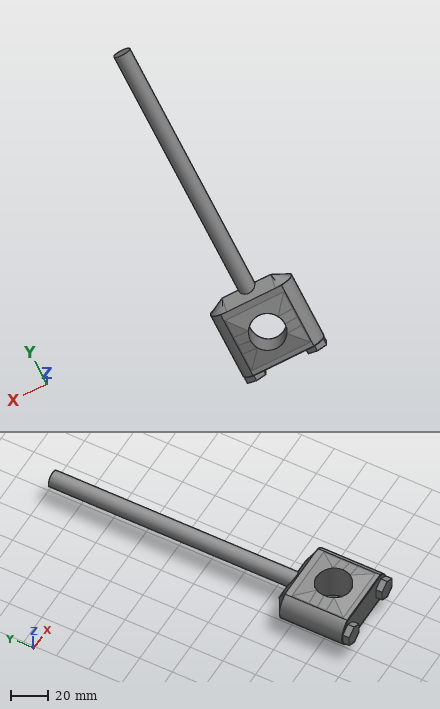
import cadquery as cq
import math


overall_length = 195.0
bolt_head_height = 3.9
body_front = -19.0

body_length = 38.6
body_width = 49.0
body_half_width = body_width / 2
body_half_height = 9.5
flat_half_width = 18.3
front_chamfer = 0.4
body_back = body_front + body_length

wedge_angle = 60.0
wedge_half_width = 24.2
wedge_height = body_half_height / math.tan(math.radians(wedge_angle))
ridge_half_width = wedge_half_width - body_half_height

hole_radius = 10.3
rim_base_half_width = 17.7
rim_base_half_depth = 15.8
rim_rise = 1.85
rim_top = body_half_height + rim_rise
rim_strip_half_depth = 5.3

rod_radius = 4.9
bolt_across_flats = 11.1
bolt_spacing = 2 * flat_half_width


def make_body():
    """Clamp block with its front edge lightly chamfered."""
    outline = (
        cq.Workplane("XZ", origin=(0, body_back, 0))
        .moveTo(-flat_half_width, body_half_height)
        .lineTo(flat_half_width, body_half_height)
        .threePointArc((body_half_width, 0), (flat_half_width, -body_half_height))
        .lineTo(-flat_half_width, -body_half_height)
        .threePointArc((-body_half_width, 0), (-flat_half_width, body_half_height))
        .close()
    )
    return outline.extrude(body_length).faces("<Y").chamfer(front_chamfer)


def make_wedge():
    """Roof-shaped back: a triangular prism with a half cone at each end."""
    back = cq.Workplane("YZ", origin=(-ridge_half_width, 0, 0))
    wedge = (
        back.moveTo(body_back, -body_half_height)
        .lineTo(body_back + wedge_height, 0)
        .lineTo(body_back, body_half_height)
        .close()
        .extrude(2 * ridge_half_width)
    )
    for side in (-1, 1):
        base_centre = cq.Vector(side * ridge_half_width, body_back, 0)
        cone = cq.Solid.makeCone(body_half_height, 0, wedge_height, base_centre, cq.Vector(0, 1, 0))
        wedge = wedge.union(cq.Workplane(cone))
    return wedge


def make_face(points):
    """Flat face bounded by straight edges through the points."""
    return cq.Face.makeFromWires(cq.Wire.makePolygon([cq.Vector(*p) for p in points], close=True))


def make_edge(start, end):
    """Straight edge between two points."""
    return cq.Edge.makeLine(cq.Vector(*start), cq.Vector(*end))


def make_rim():
    """Faceted frustum on top of the body whose upper corners lie on the hole edge."""
    strip_top_x = math.sqrt(hole_radius**2 - rim_strip_half_depth**2)

    def corner(sx, sy):
        return (sx * rim_base_half_width, sy * rim_base_half_depth, body_half_height)

    def strip_base(sx, sy):
        return (sx * rim_base_half_width, sy * rim_strip_half_depth, body_half_height)

    def strip_top(sx, sy):
        return (sx * strip_top_x, sy * rim_strip_half_depth, rim_top)

    def ridge_base(sx):
        return (sx * rim_base_half_width, 0, body_half_height)

    def ridge_top(sx):
        return (sx * hole_radius, 0, rim_top)

    base_outline = [
        corner(-1, -1), corner(1, -1),
        strip_base(1, -1), ridge_base(1), strip_base(1, 1),
        corner(1, 1), corner(-1, 1),
        strip_base(-1, 1), ridge_base(-1), strip_base(-1, -1),
    ]
    top_outline = [
        strip_top(-1, -1), strip_top(1, -1), ridge_top(1),
        strip_top(1, 1), strip_top(-1, 1), ridge_top(-1),
    ]
    faces = [make_face(base_outline), make_face(top_outline)]
    for sy in (-1, 1):
        faces.append(make_face([corner(-1, sy), corner(1, sy), strip_top(1, sy), strip_top(-1, sy)]))
        for sx in (-1, 1):
            faces.append(make_face([corner(sx, sy), strip_base(sx, sy), strip_top(sx, sy)]))
            strip_edge = make_edge(strip_base(sx, sy), strip_top(sx, sy))
            ridge_edge = make_edge(ridge_base(sx), ridge_top(sx))
            faces.append(cq.Face.makeRuledSurface(ridge_edge, strip_edge))
    return cq.Workplane(cq.Solid.makeSolid(cq.Shell.makeShell(faces)))


def make_rod():
    """Round rod running from the back face of the body, through the wedge, to the far end."""
    rod_end = body_front - bolt_head_height + overall_length
    return cq.Workplane("XZ", origin=(0, rod_end, 0)).circle(rod_radius).extrude(rod_end - body_back)


def make_bolt_heads():
    """Two hexagon heads on the front face, corners pointing up and down."""
    corner_diameter = bolt_across_flats / math.cos(math.radians(30))
    return (
        cq.Workplane("XZ", origin=(0, body_front, 0))
        .transformed(rotate=(0, 0, 90))
        .rarray(2, bolt_spacing, 1, 2)
        .polygon(6, corner_diameter)
        .extrude(bolt_head_height)
    )


rim = make_rim()
hole = cq.Workplane("XY", origin=(0, 0, -rim_top)).circle(hole_radius).extrude(2 * rim_top)

result = (
    make_body()
    .union(make_wedge())
    .union(rim)
    .union(rim.mirror("XY"))
    .union(make_rod())
    .union(make_bolt_heads())
    .cut(hole)
)